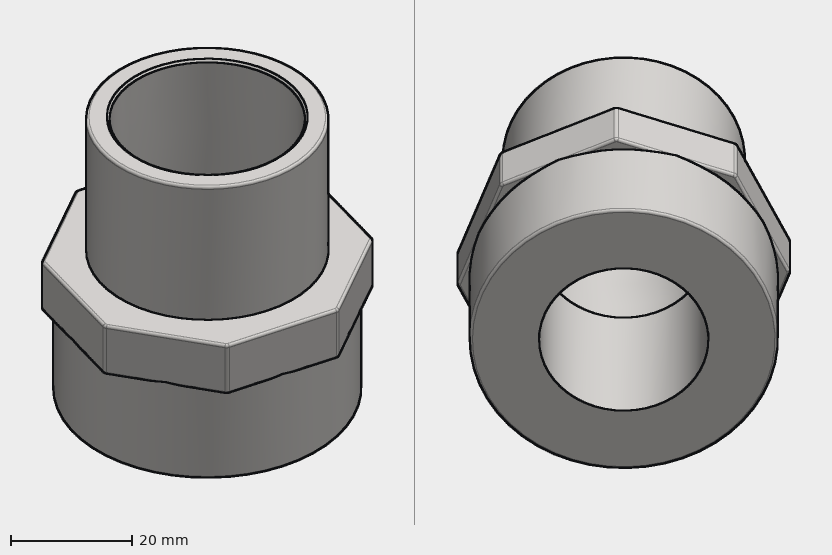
import cadquery as cq

total_height = 55.3
collar_bottom = 18.45
collar_top = 28.35

edge_radius = 0.5

body_diameter = 51.0
collar_sides = 8
collar_corner_radius = 0.95

spigot_diameter = 40.1
socket_mouth_diameter = 32.3
socket_root_diameter = 31.95
socket_chamfer = 0.45
socket_depth = total_height - collar_top
bore_diameter = 28.0


def make_body():
    """Lower cylinder with a rounded bottom rim, overlapping the collar's bottom rounding."""
    body_height = collar_bottom + edge_radius
    body = cq.Workplane("XY").circle(body_diameter / 2).extrude(body_height)
    return body.faces("<Z").edges().fillet(edge_radius)


def make_collar():
    """Octagonal collar with flats facing the X and Y axes and rounded edges."""
    collar = (
        cq.Workplane("XY")
        .workplane(offset=collar_bottom)
        .polygon(collar_sides, body_diameter, circumscribed=True)
        .extrude(collar_top - collar_bottom)
    )
    collar = collar.edges("|Z").fillet(collar_corner_radius)
    return collar.faces("<Z or >Z").edges().fillet(edge_radius)


def make_spigot():
    """Plain cylinder above the collar with a rounded outer rim."""
    spigot = (
        cq.Workplane("XY")
        .workplane(offset=collar_bottom)
        .circle(spigot_diameter / 2)
        .extrude(total_height - collar_bottom)
    )
    return spigot.faces(">Z").edges().fillet(edge_radius)


def make_bore():
    """Through bore and slightly tapered socket, turned about Z from a half profile."""
    bore_radius = bore_diameter / 2
    mouth_radius = socket_mouth_diameter / 2
    profile = (
        cq.Workplane("XZ")
        .lineTo(bore_radius, 0)
        .lineTo(bore_radius, total_height - socket_depth)
        .lineTo(socket_root_diameter / 2, total_height - socket_depth)
        .lineTo(mouth_radius, total_height - socket_chamfer)
        .lineTo(mouth_radius + socket_chamfer, total_height)
        .lineTo(0, total_height)
        .close()
    )
    return profile.revolve(360, (0, 0, 0), (0, 1, 0))


outside = make_collar().union(make_body()).union(make_spigot())
result = outside.cut(make_bore())